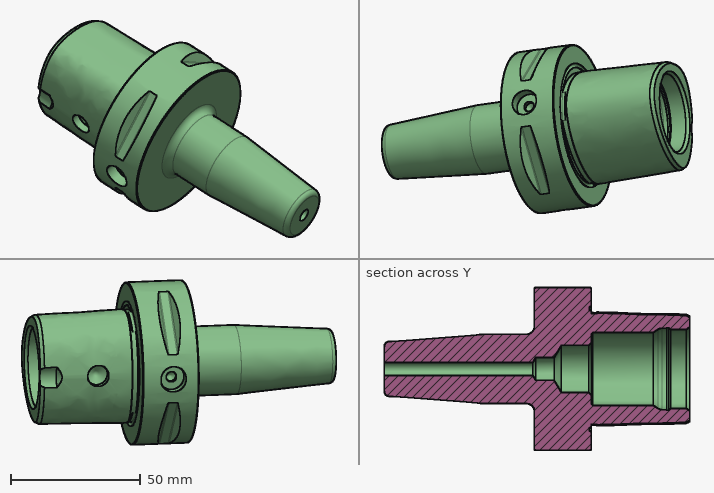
import cadquery as cq
import math

total_length = 118.0
flange_start = 38.0
flange_end = 60.1
nose_taper_start = 79.8

shank_radius = 22.1
lobe_rise = 1.4
taper_per_side = 1 / 40
mouth_chamfer_length = 1.5
mouth_chamfer_height = 0.7
outline_points = 36

neck_start = 36.0
neck_step = 0.2
neck_radius = 22.5
groove_radius = 0.8

flange_radius = 31.5
flange_chamfer = 0.4
nose_radius = 13.5
nose_root_fillet = 3.0
nose_tip_radius = 10.5
nose_tip_fillet = 2.0

mouth_radius = 16.2
mouth_bevel_depth = 1.3
entry_radius = 15.2
clamp_groove_start = 7.4
clamp_groove_end = 9.0
clamp_groove_radius = 15.9
clamp_seat_radius = 15.7
clamp_seat_end = 10.7
clamp_seat_fillet = 2.7
main_cone_start = 12.3
main_cone_end = 14.0
main_bore_radius = 14.0
main_bore_floor_chamfer = 0.6
rear_bore_radius = 9.1
rear_bore_chamfer = 1.1
rear_bore_end = 49.6
coolant_bore_radius = 4.4
coolant_bore_length = 7.1
through_radius = 2.5
drill_half_angle = math.radians(59)

seat_x = 50.0
slot_floor_distance = 28.0
slot_floor_width = 3.8
slot_wall_angle = math.radians(30)
slot_floor_fillet = 0.5
slot_angles = (45, 135, 225, 315)
seat_radius = 5.0
seat_depth = 5.0
pilot_radius = 2.0
pilot_depth = 1.8

dimple_x = 22.5
dimple_radius = 4.1
dimple_floor_distance = 16.8
notch_radius = 5.7
notch_axis_distance = 23.6
notch_length = 6.4


def drill_tip(radius):
    """Length over which a drilled cone loses the given radius."""
    return radius / math.tan(drill_half_angle)


def shank_section(x, inset=0.0):
    """Closed three-lobed outline with one lobe on +Y, in the plane at x."""
    mean = shank_radius - taper_per_side * (flange_start - x) - inset
    points = []
    for i in range(outline_points):
        a = 2 * math.pi * i / outline_points
        reach = mean + lobe_rise * math.cos(3 * a)
        slope = -3 * lobe_rise * math.sin(3 * a)
        y = reach * math.cos(a) - slope * math.sin(a)
        z = reach * math.sin(a) + slope * math.cos(a)
        points.append(cq.Vector(x, y, z))
    return cq.Wire.assembleEdges([cq.Edge.makeSpline(points, periodic=True)])


def loft_sections(first, second):
    """Straight-ruled solid between two closed outlines."""
    return cq.Workplane(obj=cq.Solid.makeLoft([first, second], True))


def revolve_profile(profile):
    return profile.close().revolve(360, (0, 0, 0), (1, 0, 0))


def drill(radius, length):
    """Round cutter with a conical tip: starts at the origin and runs along +X."""
    profile = (
        cq.Workplane("XY")
        .lineTo(0, radius)
        .lineTo(length, radius)
        .lineTo(length + drill_tip(radius), 0)
    )
    return revolve_profile(profile)


def make_shank():
    mouth = shank_section(0, mouth_chamfer_height)
    chamfer_end = shank_section(mouth_chamfer_length)
    taper_end = shank_section(neck_start - neck_step)
    neck_front = shank_section(neck_start, neck_step)
    neck_back = shank_section(flange_start, neck_step)
    shank = loft_sections(mouth, chamfer_end)
    shank = shank.union(loft_sections(chamfer_end, taper_end))
    shank = shank.union(loft_sections(taper_end, neck_front))
    return shank.union(loft_sections(neck_front, neck_back))


def make_lobe_relief():
    """Ring that trims the lobes to the neck just before the flange."""
    outer = shank_radius + 2 * lobe_rise
    profile = (
        cq.Workplane("XY")
        .moveTo(neck_start, neck_radius + groove_radius)
        .lineTo(neck_start + groove_radius, neck_radius)
        .lineTo(flange_start, neck_radius)
        .lineTo(flange_start, outer)
        .lineTo(neck_start, outer)
    )
    return revolve_profile(profile)


def make_flange_and_nose():
    profile = (
        cq.Workplane("XY")
        .moveTo(flange_start, 0)
        .lineTo(flange_start, flange_radius - flange_chamfer)
        .lineTo(flange_start + flange_chamfer, flange_radius)
        .lineTo(flange_end - flange_chamfer, flange_radius)
        .lineTo(flange_end, flange_radius - flange_chamfer)
        .lineTo(flange_end, nose_radius + nose_root_fillet)
        .radiusArc((flange_end + nose_root_fillet, nose_radius), -nose_root_fillet)
        .lineTo(nose_taper_start, nose_radius)
        .lineTo(total_length, nose_tip_radius)
        .lineTo(total_length, 0)
    )
    return revolve_profile(profile).faces(">X").edges().fillet(nose_tip_fillet)


def make_face_groove():
    """Half-round ring groove in the flange face around the neck."""
    ring_radius = neck_radius + groove_radius
    ring = cq.Solid.makeTorus(ring_radius, groove_radius, cq.Vector(flange_start, 0, 0), cq.Vector(1, 0, 0))
    return cq.Workplane(obj=ring)


def make_bore():
    rear_cone_end = rear_bore_end + drill_tip(rear_bore_radius - coolant_bore_radius)
    coolant_end = rear_cone_end + coolant_bore_length
    coolant_cone_end = coolant_end + drill_tip(coolant_bore_radius - through_radius)
    profile = (
        cq.Workplane("XY")
        .lineTo(0, mouth_radius)
        .lineTo(mouth_bevel_depth, entry_radius)
        .lineTo(clamp_groove_start, entry_radius)
        .lineTo(clamp_groove_start + clamp_groove_radius - entry_radius, clamp_groove_radius)
        .lineTo(clamp_groove_end, clamp_groove_radius)
        .lineTo(clamp_groove_end, clamp_seat_radius)
        .lineTo(clamp_seat_end, clamp_seat_radius)
        .radiusArc((main_cone_start, entry_radius), clamp_seat_fillet)
        .lineTo(main_cone_end, main_bore_radius)
        .lineTo(flange_start - main_bore_floor_chamfer, main_bore_radius)
        .lineTo(flange_start, main_bore_radius - main_bore_floor_chamfer)
        .lineTo(flange_start, rear_bore_radius + rear_bore_chamfer)
        .lineTo(flange_start + rear_bore_chamfer, rear_bore_radius)
        .lineTo(rear_bore_end, rear_bore_radius)
        .lineTo(rear_cone_end, coolant_bore_radius)
        .lineTo(coolant_end, coolant_bore_radius)
        .lineTo(coolant_cone_end, through_radius)
        .lineTo(total_length, through_radius)
        .lineTo(total_length, 0)
    )
    return revolve_profile(profile)


def make_gripper_slot(angle):
    """Flared slot across the flange rim, its floor a chord of the rim circle."""
    height = flange_radius - slot_floor_distance
    half_floor = slot_floor_width / 2
    half_top = half_floor + height * math.tan(slot_wall_angle)
    slot = (
        cq.Workplane("XY")
        .moveTo(seat_x - half_floor, slot_floor_distance)
        .lineTo(seat_x + half_floor, slot_floor_distance)
        .lineTo(seat_x + half_top, flange_radius)
        .lineTo(seat_x - half_top, flange_radius)
        .close()
        .extrude(flange_radius, both=True)
        .faces("<Y")
        .edges("|Z")
        .fillet(slot_floor_fillet)
    )
    return slot.rotate((0, 0, 0), (1, 0, 0), angle)


def make_flange_seat():
    """Flat-bottomed seat with a drilled pilot, entering the rim from -Y."""
    seat = cq.Workplane("YZ").circle(seat_radius).extrude(seat_depth)
    pilot = drill(pilot_radius, seat_depth + pilot_depth)
    return seat.union(pilot).rotate((0, 0, 0), (0, 0, 1), 90).translate((seat_x, -flange_radius, 0))


def make_dimple():
    length = flange_radius - dimple_floor_distance
    cutter = drill(dimple_radius, length).rotate((0, 0, 0), (0, 0, 1), 90)
    return cutter.translate((dimple_x, -flange_radius, 0))


def make_mouth_notch():
    """Scoop along X from the mouth, ending in a 45 degree cone."""
    profile = (
        cq.Workplane("XY")
        .lineTo(0, notch_radius)
        .lineTo(notch_length, notch_radius)
        .lineTo(notch_length + notch_radius, 0)
    )
    return revolve_profile(profile).translate((0, -notch_axis_distance, 0))


body = make_shank().cut(make_lobe_relief()).union(make_flange_and_nose())
body = body.cut(make_face_groove()).cut(make_bore())
for slot_angle in slot_angles:
    body = body.cut(make_gripper_slot(slot_angle))

flange_seat = make_flange_seat()
body = body.cut(flange_seat).cut(flange_seat.mirror("XZ"))
result = body.cut(make_dimple()).cut(make_mouth_notch())